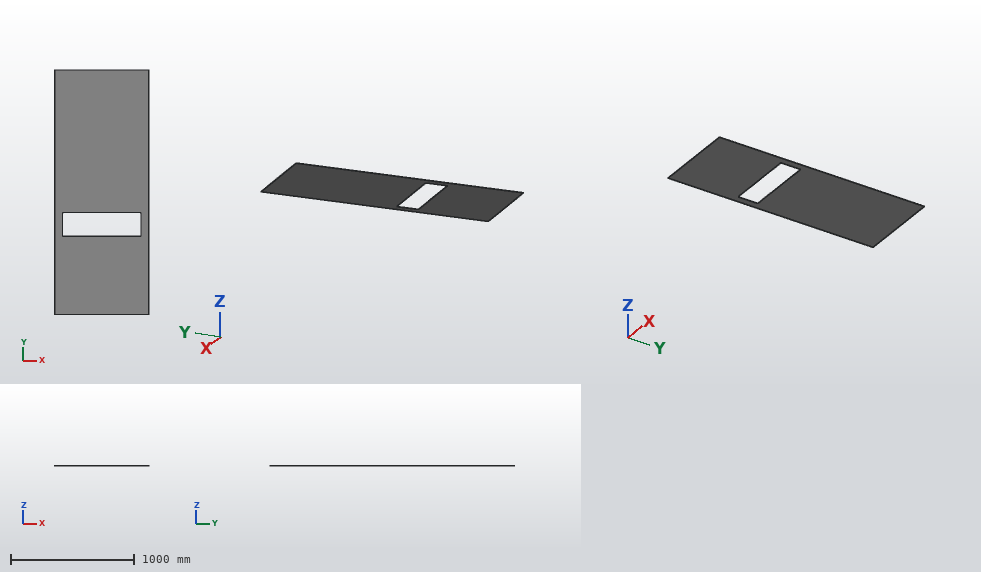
import cadquery as cq

plate_width = 762.0
plate_length = 1981.2
plate_thickness = 6.35

side_margin = 63.5
opening_width = plate_width - 2 * side_margin
opening_height = 190.5
opening_bottom_offset = 635.0
opening_corner_radius = 6.35
opening_center_y = -plate_length / 2 + opening_bottom_offset + opening_height / 2


def make_plate():
    return cq.Workplane("XY").box(plate_width, plate_length, plate_thickness)


def make_opening():
    """Through cutter with all four upright edges rounded."""
    return (
        cq.Workplane("XY")
        .center(0, opening_center_y)
        .box(opening_width, opening_height, plate_thickness)
        .edges("|Z")
        .fillet(opening_corner_radius)
    )


result = make_plate().cut(make_opening())